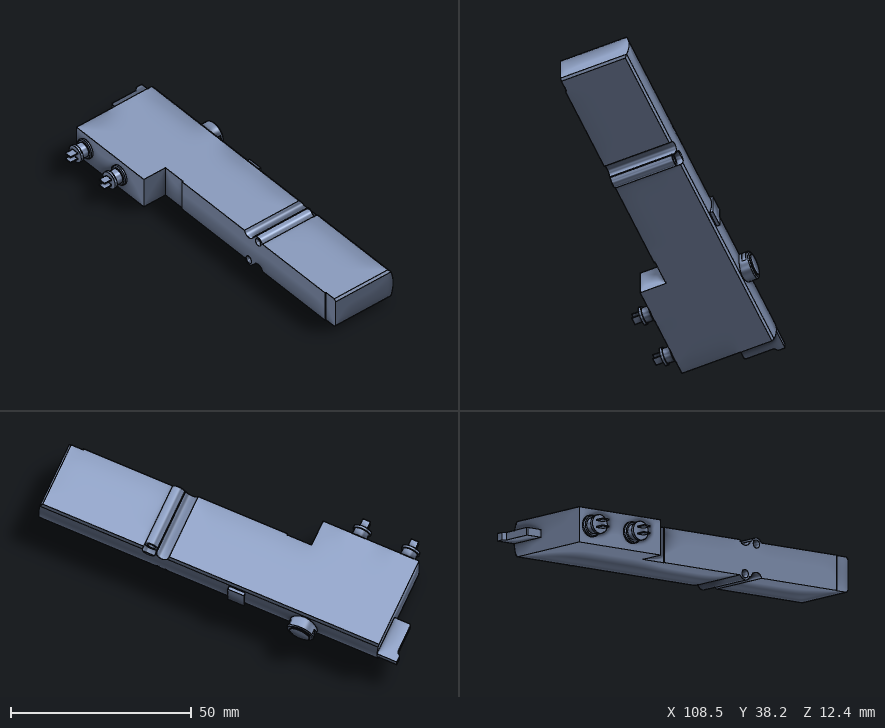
import cadquery as cq
import math


body_length = 102.5
body_height = 10.0
chamfer = 0.7
shoulder_y = 27.8
crown_rise = 0.8
crown_y = shoulder_y + crown_rise
block_length = 29.1
arm_front_y = 7.5
recess_depth = 0.3
recess_length = 7.5
end_recess_length = 4.2

tube_x = 69.4
groove_x = 65.4
tube_z = 4.5
tube_radius = 1.7
groove_radius = 2.0
groove_z = body_height - tube_z
bore_diameter = 2.3
outlet_diameter = 1.3
counterbore_diameter = 3.9
counterbore_start_y = 26.0
counterbore_end_y = 28.0

connector_x = 4.1
connector_pitch = 14.6
collar_diameter = 6.1
collar_chamfer = 0.3
collar_length = 0.9
stem_diameter = 4.5
stem_end = 3.1
flange_diameter = 5.3
flange_end = 3.9
blade_end = 6.5
blade_width = 2.3
blade_thickness = 0.3
blade_offset = 1.0

knob_x = 22.1
knob_diameter = 8.1
knob_cap_diameter = 6.1
knob_cap_height = 0.3
knob_top_y = 31.7
knob_chamfer = 0.3
notch_depth = 0.5
notch_bottom_y = 29.3
notch_top_y = 30.5
pad_x = 42.6
pad_length = 4.9
pad_width = 7.8
pad_y = 28.9

latch_reach = 6.0
latch_stem_reach = 5.0
latch_thickness = 2.2
latch_top_y = crown_y
latch_slope_top_y = 26.5
latch_slope_bottom_y = 25.6
latch_bottom_y = 16.7
latch_edge_chamfer = 0.3


def box(x0, x1, y0, y1, z0, z1):
    return cq.Workplane("XY").box(x1 - x0, y1 - y0, z1 - z0, centered=False).translate((x0, y0, z0))


def cylinder_along_y(x, z, diameter, y0, y1):
    base = cq.Workplane("XZ", origin=(x, y0, z))
    return base.circle(diameter / 2).extrude(y0 - y1)


def make_body():
    half = body_height / 2
    crown_half = half - chamfer
    section = (
        cq.Workplane("YZ")
        .moveTo(0, -half)
        .lineTo(shoulder_y - chamfer, -half)
        .lineTo(shoulder_y, -crown_half)
        .threePointArc((crown_y, 0), (shoulder_y, crown_half))
        .lineTo(shoulder_y - chamfer, half)
        .lineTo(0, half)
        .close()
    )
    body = section.extrude(body_length)
    plan = (
        cq.Workplane("XY")
        .workplane(offset=-half)
        .moveTo(0, 0)
        .lineTo(block_length, 0)
        .lineTo(block_length, arm_front_y + recess_depth)
        .lineTo(block_length + recess_length, arm_front_y + recess_depth)
        .lineTo(block_length + recess_length, arm_front_y)
        .lineTo(body_length - end_recess_length, arm_front_y)
        .lineTo(body_length - end_recess_length, arm_front_y + recess_depth)
        .lineTo(body_length, arm_front_y + recess_depth)
        .lineTo(body_length, crown_y)
        .lineTo(0, crown_y)
        .close()
        .extrude(body_height)
    )
    side = (
        cq.Workplane("XZ")
        .rect(2 * body_length, body_height)
        .extrude(-crown_y)
        .edges("|Y and >X")
        .chamfer(chamfer)
    )
    return body.intersect(plan).intersect(side)


def on_both_faces(feature):
    """The feature and its copy turned half a turn about the axis midway between the tubes."""
    middle_x = (tube_x + groove_x) / 2
    return feature.union(feature.rotate((middle_x, 0, 0), (middle_x, 1, 0), 180))


def make_tube_ridge():
    """Round ridge around the tube, with straight flanks tangent to it on both sides."""
    spacing_x = tube_x - groove_x
    spacing_z = groove_z - tube_z
    normal_angle = (
        math.pi
        - math.atan2(spacing_z, spacing_x)
        - math.acos((tube_radius + groove_radius) / math.hypot(spacing_x, spacing_z))
    )
    across = -math.cos(normal_angle)
    upward = math.sin(normal_angle)
    tangent_x = tube_radius * across
    tangent_z = tube_z + tube_radius * upward
    groove_edge_x = groove_x + groove_radius * across
    groove_edge_z = groove_z - groove_radius * upward
    right_foot_x = tube_x + tangent_x + (tangent_z - body_height / 2) * upward / across
    section = (
        cq.Workplane("XZ", origin=(0, counterbore_start_y, 0))
        .moveTo(groove_edge_x, groove_edge_z)
        .lineTo(tube_x - tangent_x, tangent_z)
        .threePointArc((tube_x, tube_z + tube_radius), (tube_x + tangent_x, tangent_z))
        .lineTo(right_foot_x, body_height / 2)
        .lineTo(right_foot_x, groove_edge_z)
        .close()
    )
    return section.extrude(counterbore_start_y - arm_front_y)


def make_connector(x):
    collar = cylinder_along_y(x, 0, collar_diameter, -collar_length, 0)
    collar = collar.faces("<Y").chamfer(collar_chamfer)
    stem = cylinder_along_y(x, 0, stem_diameter, -stem_end, 0)
    flange = cylinder_along_y(x, 0, flange_diameter, -flange_end, -stem_end)
    connector = collar.union(stem).union(flange)
    for z in (-blade_offset, blade_offset):
        blade = box(
            x - blade_width / 2, x + blade_width / 2, -blade_end, -flange_end,
            z - blade_thickness / 2, z + blade_thickness / 2,
        )
        connector = connector.union(blade)
    return connector


def make_knob():
    rim_y = knob_top_y - knob_cap_height
    knob = cylinder_along_y(knob_x, 0, knob_diameter, shoulder_y, rim_y)
    knob = knob.faces(">Y").chamfer(knob_chamfer)
    knob = knob.union(cylinder_along_y(knob_x, 0, knob_cap_diameter, rim_y, knob_top_y))
    radius = knob_diameter / 2
    floor = radius - notch_depth
    for x0, x1 in ((-radius, -floor), (floor, radius)):
        notch = box(knob_x + x0, knob_x + x1, notch_bottom_y, notch_top_y, -radius, radius)
        knob = knob.cut(notch)
    return knob


def make_latch():
    outline = (
        cq.Workplane("XY")
        .workplane(offset=-latch_thickness / 2)
        .moveTo(0, latch_top_y)
        .lineTo(-latch_reach, latch_top_y)
        .lineTo(-latch_reach, latch_slope_top_y)
        .lineTo(-latch_stem_reach, latch_slope_bottom_y)
        .lineTo(-latch_stem_reach, latch_bottom_y + latch_edge_chamfer)
        .lineTo(-latch_stem_reach + latch_edge_chamfer, latch_bottom_y)
        .lineTo(0, latch_bottom_y)
        .close()
    )
    return outline.extrude(latch_thickness)


def make_pad():
    return box(
        pad_x - pad_length / 2, pad_x + pad_length / 2, arm_front_y, pad_y, -pad_width / 2, pad_width / 2
    )


def make_tube_passage():
    """Stepped passage: bore, wider counterbore, then a narrow outlet in the rear face."""
    bore = cylinder_along_y(tube_x, tube_z, bore_diameter, arm_front_y, counterbore_start_y)
    counterbore = cylinder_along_y(
        tube_x, tube_z, counterbore_diameter, counterbore_start_y, counterbore_end_y
    )
    outlet = cylinder_along_y(tube_x, tube_z, outlet_diameter, counterbore_end_y, crown_y)
    return bore.union(counterbore).union(outlet)


groove = cylinder_along_y(groove_x, groove_z, 2 * groove_radius, 0, crown_y)

result = make_body()
result = result.cut(on_both_faces(groove))
result = result.union(on_both_faces(make_tube_ridge()))
result = result.cut(on_both_faces(make_tube_passage()))
for x in (connector_x, connector_x + connector_pitch):
    result = result.union(make_connector(x))
result = result.union(make_knob())
result = result.union(make_pad())
result = result.union(make_latch())